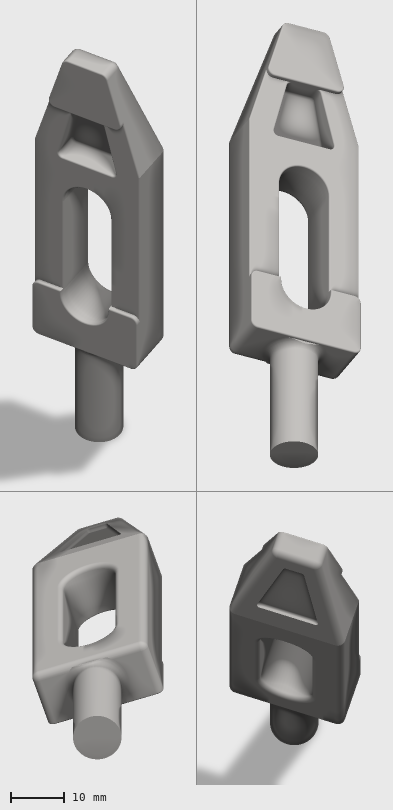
import cadquery as cq
import math

LENGTH = 92.2
WIDTH = 22.6
THICKNESS = 10.9
BACK = THICKNESS / 2
FRONT = -BACK

BODY_BOTTOM = 22.4
SHOULDER = 69.2
TIP_WIDTH = 9.2
SLOPE = math.tan(math.radians(15))
CORNER_RADIUS = 1.4
EDGE_RADIUS = 0.3

PAD_HEIGHT = 0.9
RECESS = FRONT + PAD_HEIGHT
LOWER_PAD_TOP = 35.1
UPPER_PAD_BOTTOM = 79.7

SLOT_WIDTH = 10.2
SLOT_BOTTOM = 29.5
SLOT_TOP = 61.6
SLOT_BACK_RADIUS = 0.9

FRONT_POCKET_BOTTOM = 67.1
FRONT_POCKET_WIDTH = 12.9
FRONT_POCKET_TOP_WIDTH = 6.6
FRONT_POCKET_DEPTH = 5.2
FRONT_FLOOR_TILT = math.tan(math.radians(8))
FRONT_POCKET_CORNER_RADIUS = 0.9
FLOOR_RADIUS = 0.5
BACK_POCKET_BOTTOM = 73.8
BACK_POCKET_TOP = 88.7
BACK_POCKET_WIDTH = 12.4
BACK_POCKET_TOP_WIDTH = 3.9
BACK_POCKET_DEPTH = 0.8
BACK_POCKET_CORNER_RADIUS = 0.55

SHANK_RADIUS = 4.5
FLARE_RADIUS = 1.4
FLARE_THICKNESS = 9.8

TOLERANCE = 0.01


def prism(points, y_start, y_end):
    """Extrude an XZ outline from y_start to y_end."""
    sketch = cq.Workplane("XZ", origin=(0, y_start, 0)).polyline(points).close()
    return sketch.extrude(y_start - y_end)


def trapezoid(bottom, top, bottom_width, top_width):
    """Symmetric XZ outline between two heights."""
    return [
        (-bottom_width / 2, bottom),
        (bottom_width / 2, bottom),
        (top_width / 2, top),
        (-top_width / 2, top),
    ]


def body_width(z):
    """Width of the body at height z, tapering above the shoulder."""
    if z < SHOULDER:
        return WIDTH
    return WIDTH + (TIP_WIDTH - WIDTH) * (z - SHOULDER) / (LENGTH - SHOULDER)


def in_front_of(y, z, tilt):
    """Everything in front of a plane through (y, z) that leans forward with height by the tilt."""
    points = [
        (2 * FRONT, 0),
        (y + tilt * z, 0),
        (y + tilt * (z - LENGTH), LENGTH),
        (2 * FRONT, LENGTH),
    ]
    return cq.Workplane("YZ").polyline(points).close().extrude(WIDTH, both=True)


def is_on(edge, y):
    """True when the whole edge lies in the plane at the given Y."""
    box = edge.BoundingBox()
    return abs(box.ymin - y) < TOLERANCE and abs(box.ymax - y) < TOLERANCE


def make_body():
    """Tapered block with a sloped back, rounded everywhere but the front and the shoulder."""
    base = prism(trapezoid(BODY_BOTTOM, SHOULDER, WIDTH, WIDTH), FRONT, BACK)
    nose = prism(trapezoid(SHOULDER, LENGTH, WIDTH, TIP_WIDTH), FRONT, BACK)
    body = base.union(nose).intersect(in_front_of(BACK, SHOULDER, SLOPE))
    rounded = [
        edge
        for edge in body.edges().vals()
        if abs(edge.Center().z - SHOULDER) > TOLERANCE and not is_on(edge, FRONT)
    ]
    return body.newObject(rounded).fillet(CORNER_RADIUS)


def round_edges_at(solid, y, radius):
    """Round every edge that lies in the plane at the given Y."""
    flat_edges = [edge for edge in solid.edges().vals() if is_on(edge, y)]
    return solid.newObject(flat_edges).fillet(radius)


def slot_cutter():
    """Upright slot with round ends, running through the whole thickness."""
    center = (SLOT_TOP + SLOT_BOTTOM) / 2
    sketch = cq.Workplane("XZ", origin=(0, 0, center))
    sketch = sketch.slot2D(SLOT_TOP - SLOT_BOTTOM, SLOT_WIDTH, 90)
    return sketch.extrude(THICKNESS, both=True)


def round_slot_back(core):
    """Round the rim of the slot on the back face."""
    around_slot = cq.selectors.BoxSelector(
        (-SLOT_WIDTH, BACK - TOLERANCE, SLOT_BOTTOM), (SLOT_WIDTH, BACK + TOLERANCE, SLOT_TOP)
    )
    return core.edges(around_slot).fillet(SLOT_BACK_RADIUS)


def round_pocket(pocket, corner_radius, floor_faces):
    """Round the upright corners of a pocket cutter, then its floor edges."""
    return pocket.edges("|Y").fillet(corner_radius).faces(floor_faces).edges().fillet(FLOOR_RADIUS)


def front_pocket_cutter():
    """Cutter for the pocket under the upper pad, which gets shallower towards the tip."""
    outline = trapezoid(
        FRONT_POCKET_BOTTOM, UPPER_PAD_BOTTOM, FRONT_POCKET_WIDTH, FRONT_POCKET_TOP_WIDTH
    )
    floor_y = RECESS + FRONT_POCKET_DEPTH
    floor = in_front_of(floor_y, FRONT_POCKET_BOTTOM, FRONT_FLOOR_TILT)
    pocket = prism(outline, FRONT, BACK).intersect(floor)
    return round_pocket(pocket, FRONT_POCKET_CORNER_RADIUS, ">Y")


def back_pocket_cutter():
    """Cutter for the shallow pocket in the sloped back, with a floor parallel to the slope."""
    outline = trapezoid(
        BACK_POCKET_BOTTOM, BACK_POCKET_TOP, BACK_POCKET_WIDTH, BACK_POCKET_TOP_WIDTH
    )
    pocket = prism(outline, FRONT, 2 * BACK)
    pocket = pocket.cut(in_front_of(BACK - BACK_POCKET_DEPTH, SHOULDER, SLOPE))
    return round_pocket(pocket, BACK_POCKET_CORNER_RADIUS, "<Y")


def make_core(body):
    """Body cut back to the recessed front face, with the slot and both pockets."""
    slab = prism(trapezoid(0, LENGTH, WIDTH, WIDTH), FRONT, RECESS)
    core = round_slot_back(body.cut(slab).cut(slot_cutter()))
    core = core.cut(front_pocket_cutter()).cut(back_pocket_cutter())
    return round_edges_at(core, RECESS, EDGE_RADIUS)


def make_pad(body, bottom, top, inner_edge):
    """Raised pad with rounded inner corners, rooted below the softened edges of the core."""
    root = RECESS + 2 * EDGE_RADIUS
    outline = trapezoid(bottom, top, body_width(bottom), body_width(top))
    slab = prism(outline, FRONT, root)
    slab = slab.edges("|Y").edges(inner_edge).fillet(CORNER_RADIUS)
    pad = slab.intersect(body).cut(slot_cutter())
    return round_edges_at(pad, FRONT, EDGE_RADIUS)


def make_shank():
    """Round shank flaring into the body, the flare trimmed to stay within the thickness."""
    flare_bottom = BODY_BOTTOM - FLARE_RADIUS
    overlap = BODY_BOTTOM + CORNER_RADIUS
    flare_width = SHANK_RADIUS + FLARE_RADIUS
    shank = cq.Workplane("XY").circle(SHANK_RADIUS).extrude(overlap)
    flare = (
        cq.Workplane("XZ")
        .moveTo(0, flare_bottom)
        .lineTo(SHANK_RADIUS, flare_bottom)
        .radiusArc((flare_width, BODY_BOTTOM), FLARE_RADIUS)
        .lineTo(0, BODY_BOTTOM)
        .close()
        .revolve(360, (0, 0), (0, 1))
    )
    flare = flare.intersect(cq.Workplane().box(LENGTH, FLARE_THICKNESS, LENGTH))
    return shank.union(flare)


body = make_body()
lower_pad = make_pad(body, BODY_BOTTOM, LOWER_PAD_TOP, ">Z")
upper_pad = make_pad(body, UPPER_PAD_BOTTOM, LENGTH, "<Z")
core = make_core(body)
result = core.union(lower_pad).union(upper_pad).union(make_shank())